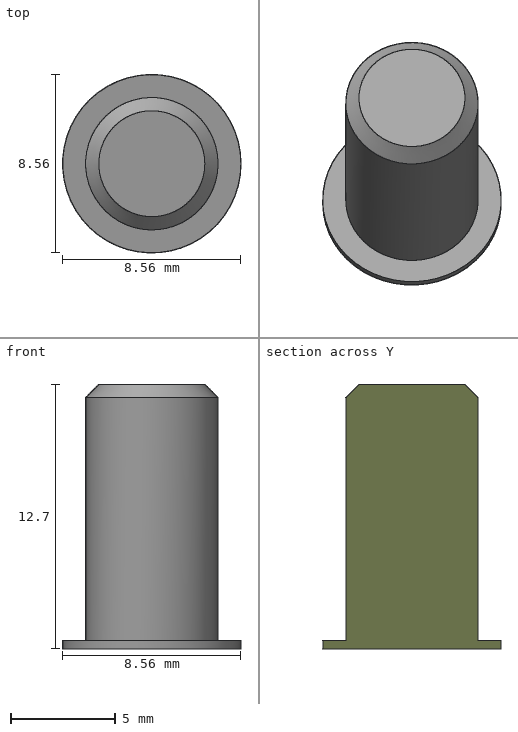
import cadquery as cq

total_height = 12.7
flange_diameter = 8.56
flange_thickness = 0.42
pin_diameter = 6.35
tip_chamfer = 0.64

flange = cq.Workplane("XY").circle(flange_diameter / 2).extrude(flange_thickness)

pin = (
    cq.Workplane("XY")
    .circle(pin_diameter / 2)
    .extrude(total_height)
    .faces(">Z")
    .chamfer(tip_chamfer)
)

result = flange.union(pin)